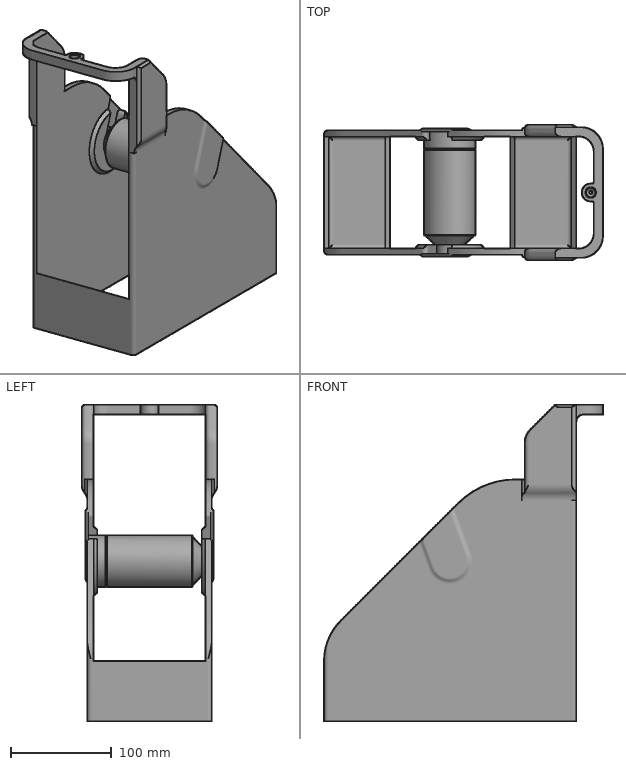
import cadquery as cq
import math

TOTAL_LENGTH = 277.0
TOTAL_WIDTH = 135.0
TOTAL_HEIGHT = 314.5

SHELL_LENGTH = 250.5
INNER_WIDTH = 111.0
WALL = 6.3
WALL_HEIGHT = 240.3
SLOPE_START = 83.3
FRONT_EDGE_RADIUS = 56.5
TOP_EDGE_RADIUS = 80.0
CORNER_RADIUS = 4.0
END_WALL = 5.0
END_WALL_HEIGHT = 60.0
FLOOR = 5.0
FRONT_FLOOR_END = 65.7
REAR_FLOOR_START = 185.0
END_BEVEL = 4.7
FLOOR_FILLET = 4.0

INNER_HALF = INNER_WIDTH / 2
SHELL_HALF = INNER_HALF + WALL
OUTER_HALF = TOTAL_WIDTH / 2

TAB_FRONT = 199.0
TAB_TOP_START = 229.5
TAB_CORNER_RADIUS = 19.0
TAB_EDGE_FILLET = 4.5
TAB_TOP_CHAMFER = 2.5
TAB_REAR_BEVEL = 4.7
TAB_FLAT_BOTTOM = 235.2
TAB_BEND_BOTTOM = 226.8
TAB_FOOT_BOTTOM = 219.5

TAB_FOOT_RISE = (OUTER_HALF - SHELL_HALF) * (TAB_BEND_BOTTOM - TAB_FOOT_BOTTOM) / (TAB_FLAT_BOTTOM - TAB_FOOT_BOTTOM)
TAB_FOOT_FRONT = TAB_FRONT - TAB_FOOT_RISE

BOW_WIDTH = 9.5
BOW_HEIGHT = 10.0
BOW_OUTER_RADIUS = 22.0
BOW_INNER_RADIUS = 14.8
BOW_FILLET = 7.0
EYE_DIAMETER = 18.0
EYE_X = 264.8
EYE_BLEND = 1.5
HOLE_MOUTH_DIAMETER = 10.7
HOLE_DIAMETER = 9.5
HOLE_TIP_DIAMETER = 2.6
HOLE_CONE_TOP = 4.7

ROLLER_X = 125.0
ROLLER_Z = 159.0
SLOT_TILT = 20.0
SLOT_RADIUS = 13.2
SLOT_LENGTH = 78.5
SLOT_MOUTH_RADIUS = 4.0
SEAT_BASE_RADIUS = 22.3
SEAT_TOP_RADIUS = 16.7
SEAT_EDGE_RADIUS = 19.5
SEAT_RISE = 2.0
SEAT_BACK = 3.0
RING_RADIUS = 34.5
RING_HEIGHT = 3.8
RING_BEVEL_ANGLE = 42.0

SLOT_FLOOR = SHELL_HALF + SEAT_RISE - SEAT_BACK
RING_FACE = INNER_HALF - RING_HEIGHT

ROLLER_DIAMETER = 51.5
CORE_DIAMETER = 47.8
JOURNAL_DIAMETER = 25.5
SLEEVE_HALF = 43.0
RIM_CHAMFER = 1.0
CONE_TIP_DIAMETER = 30.0


def prism(sketch, start, end):
    """Extrude an XZ outline between two Y positions."""
    return sketch(cq.Workplane("XZ", origin=(0, start, 0))).extrude(start - end)


def side_outline(wp):
    slope_end = WALL_HEIGHT - SLOPE_START
    return wp.polyline([
        (0, 0), (SHELL_LENGTH, 0), (SHELL_LENGTH, WALL_HEIGHT),
        (slope_end, WALL_HEIGHT), (0, SLOPE_START),
    ]).close()


def shell():
    """Two side walls joined by low end walls and two floor strips."""
    block = prism(side_outline, -SHELL_HALF, SHELL_HALF)
    block = block.edges(cq.NearestToPointSelector((0, 0, SLOPE_START))).fillet(FRONT_EDGE_RADIUS)
    slope_end = WALL_HEIGHT - SLOPE_START
    block = block.edges(cq.NearestToPointSelector((slope_end, 0, WALL_HEIGHT))).fillet(TOP_EDGE_RADIUS)
    plan = (
        cq.Workplane("XY").rect(SHELL_LENGTH, 2 * SHELL_HALF).extrude(TOTAL_HEIGHT)
        .edges("|Z").fillet(CORNER_RADIUS).translate((SHELL_LENGTH / 2, 0, 0))
    )
    block = block.intersect(plan)

    inside = (
        cq.Workplane("XY").box(SHELL_LENGTH - 2 * END_WALL, INNER_WIDTH, TOTAL_HEIGHT, centered=(False, True, False))
        .edges("<Z").fillet(FLOOR_FILLET).translate((END_WALL, 0, FLOOR))
    )
    above = (
        cq.Workplane("XY").box(SHELL_LENGTH, INNER_WIDTH, TOTAL_HEIGHT, centered=(False, True, False))
        .translate((0, 0, END_WALL_HEIGHT))
    )
    opening = (
        cq.Workplane("XY")
        .box(REAR_FLOOR_START - FRONT_FLOOR_END, INNER_WIDTH, TOTAL_HEIGHT, centered=(False, True, False))
        .translate((FRONT_FLOOR_END, 0, 0))
    )
    body = block.cut(inside).cut(above).cut(opening)
    bevelled = [
        (END_WALL, END_WALL_HEIGHT), (SHELL_LENGTH - END_WALL, END_WALL_HEIGHT),
        (FRONT_FLOOR_END, FLOOR), (REAR_FLOOR_START, FLOOR),
    ]
    for x, z in bevelled:
        body = body.edges(cq.NearestToPointSelector((x, 0, z))).chamfer(END_BEVEL)
    return body


def tab():
    """Thick upper plate on the -Y wall, swelling outwards from the wall."""
    slope_bottom = TOTAL_HEIGHT - (TAB_TOP_START - TAB_FRONT)

    def outline(wp):
        return wp.polyline([
            (TAB_FRONT, TAB_FOOT_BOTTOM), (SHELL_LENGTH, TAB_FOOT_BOTTOM),
            (SHELL_LENGTH, slope_bottom + SHELL_LENGTH - TAB_FRONT), (TAB_FRONT, slope_bottom),
        ]).close()

    plate = prism(outline, -OUTER_HALF, -INNER_HALF)
    plate = plate.edges(
        cq.NearestToPointSelector((TAB_FRONT, -OUTER_HALF / 2 - INNER_HALF / 2, slope_bottom))
    ).fillet(TAB_CORNER_RADIUS)
    plate = plate.faces("<X").edges("<Y or >Y").fillet(TAB_EDGE_FILLET)
    return plate.intersect(tab_bend()).intersect(tab_plan())


def tab_plan():
    """Plan of the -Y tab, bevelled at the rear down to the thickness of the bow."""
    return (
        cq.Workplane("XY").polyline([
            (TAB_FRONT, -INNER_HALF), (SHELL_LENGTH, -INNER_HALF), (SHELL_LENGTH, -INNER_HALF - BOW_WIDTH),
            (SHELL_LENGTH - TAB_REAR_BEVEL, -OUTER_HALF), (TAB_FRONT, -OUTER_HALF),
        ]).close().extrude(TOTAL_HEIGHT)
    )


def tab_bend():
    """End profile of the -Y tab: bevelled at the top, with an S-bend from its flat down to the wall."""
    return (
        cq.Workplane("YZ")
        .moveTo(-INNER_HALF, TOTAL_HEIGHT)
        .lineTo(-OUTER_HALF + TAB_TOP_CHAMFER, TOTAL_HEIGHT)
        .lineTo(-OUTER_HALF, TOTAL_HEIGHT - TAB_TOP_CHAMFER)
        .lineTo(-OUTER_HALF, TAB_FLAT_BOTTOM)
        .tangentArcPoint((-SHELL_HALF - TAB_FOOT_RISE, TAB_BEND_BOTTOM), relative=False)
        .tangentArcPoint((-SHELL_HALF, TAB_FOOT_BOTTOM), relative=False)
        .lineTo(-INNER_HALF, TAB_FOOT_BOTTOM)
        .close().extrude(TOTAL_LENGTH)
    )


def tab_foot():
    """Hollow flare that runs down the front of the -Y tab where it leaves the wall."""
    plan = (
        cq.Workplane("XY", origin=(0, 0, TAB_FOOT_BOTTOM))
        .moveTo(TAB_FOOT_FRONT, -INNER_HALF)
        .lineTo(TAB_FOOT_FRONT, -SHELL_HALF)
        .radiusArc((TAB_FRONT, -SHELL_HALF - TAB_FOOT_RISE), -TAB_FOOT_RISE)
        .lineTo(SHELL_LENGTH, -SHELL_HALF - TAB_FOOT_RISE)
        .lineTo(SHELL_LENGTH, -INNER_HALF)
        .close().extrude(WALL_HEIGHT - TAB_FOOT_BOTTOM)
    )
    return plan.intersect(tab_bend())


def bow():
    """Flat bar that bends round from one tab to the other behind the shell."""
    bow_half = INNER_HALF + BOW_WIDTH
    bottom = TOTAL_HEIGHT - BOW_HEIGHT
    start = SHELL_LENGTH - TAB_REAR_BEVEL

    def bar(end, half, radius):
        return (
            cq.Workplane("XY", origin=(0, 0, bottom))
            .center((start + end) / 2, 0).rect(end - start, 2 * half).extrude(BOW_HEIGHT)
            .edges("|Z and >X").fillet(radius)
        )

    eye_bar = (
        cq.Workplane("XY", origin=(EYE_X, 0, bottom)).circle(EYE_DIAMETER / 2).extrude(BOW_HEIGHT)
    )
    opening = bar(TOTAL_LENGTH - BOW_WIDTH, INNER_HALF, BOW_INNER_RADIUS)
    ring = bar(TOTAL_LENGTH, bow_half, BOW_OUTER_RADIUS).cut(opening).union(eye_bar)
    inner_face = TOTAL_LENGTH - BOW_WIDTH
    for side in (-1, 1):
        neck = cq.NearestToPointSelector((inner_face, side * EYE_DIAMETER / 2, bottom + BOW_HEIGHT / 2))
        ring = ring.edges(neck).fillet(EYE_BLEND)

    def gusset_outline(wp):
        return (
            wp.moveTo(SHELL_LENGTH, bottom).lineTo(SHELL_LENGTH + BOW_FILLET, bottom)
            .radiusArc((SHELL_LENGTH, bottom - BOW_FILLET), -BOW_FILLET).close()
        )

    for side in (-1, 1):
        gusset = prism(gusset_outline, *sorted((side * INNER_HALF, side * bow_half)))
        ring = ring.union(gusset)
    return ring


def eye_hole():
    """Hole through the bow's eye: a narrow bevel, a short bore, then a cone closing to a small bore."""
    mouth = HOLE_MOUTH_DIAMETER / 2
    bore = HOLE_DIAMETER / 2
    tip = HOLE_TIP_DIAMETER / 2
    bevel = mouth - bore
    return (
        cq.Workplane("XZ").polyline([
            (0, 0), (mouth, 0), (bore, -bevel), (bore, -HOLE_CONE_TOP),
            (tip, -HOLE_CONE_TOP - (bore - tip)), (tip, -BOW_HEIGHT), (0, -BOW_HEIGHT),
        ]).close().revolve(360, (0, 0, 0), (0, 1, 0)).translate((EYE_X, 0, TOTAL_HEIGHT))
    )


def slot_strip(wp, radius):
    """Upright strip with a round lower end, tilted about the roller axis."""
    tilt = math.radians(SLOT_TILT)
    across = (math.cos(tilt), math.sin(tilt))
    along = (-math.sin(tilt), math.cos(tilt))

    def point(u, v):
        return (ROLLER_X + u * across[0] + v * along[0], ROLLER_Z + u * across[1] + v * along[1])

    return (
        wp.moveTo(*point(-radius, SLOT_LENGTH)).lineTo(*point(-radius, 0))
        .threePointArc(point(0, -radius), point(radius, 0))
        .lineTo(*point(radius, SLOT_LENGTH)).close()
    )


def seat_cover():
    """Raised pad with an S-shaped rim on the outside of the -Y wall, closing the slot behind."""
    top = -SHELL_HALF - SEAT_RISE
    rim_share = (SEAT_EDGE_RADIUS - SEAT_TOP_RADIUS) / (SEAT_BASE_RADIUS - SEAT_TOP_RADIUS)
    edge = top + SEAT_RISE * rim_share

    def half_section():
        return (
            cq.Workplane("XY").moveTo(0, top).lineTo(SEAT_TOP_RADIUS, top)
            .tangentArcPoint((SEAT_EDGE_RADIUS, edge), relative=False)
            .tangentArcPoint((SEAT_BASE_RADIUS, -SHELL_HALF), relative=False)
            .lineTo(SEAT_BASE_RADIUS, -SLOT_FLOOR).lineTo(0, -SLOT_FLOOR).close()
        )

    half_strip = half_section().extrude(SLOT_LENGTH)
    round_end = half_section().revolve(360, (0, 0, 0), (0, 1, 0))
    pad = (
        round_end.union(half_strip).union(half_strip.mirror("YZ"))
        .rotate((0, 0, 0), (0, 1, 0), -SLOT_TILT).translate((ROLLER_X, 0, ROLLER_Z))
    )
    return pad.intersect(prism(side_outline, -OUTER_HALF, 0))


def seat_ring():
    """Bevelled ring on the inside of the -Y wall, round the roller axis."""
    return (
        cq.Workplane("XZ", origin=(ROLLER_X, -INNER_HALF, ROLLER_Z))
        .circle(RING_RADIUS).extrude(-RING_HEIGHT, taper=RING_BEVEL_ANGLE)
    )


def seat_slot():
    """Open-topped slot in the -Y wall that takes one end of the roller."""
    return prism(lambda wp: slot_strip(wp, SLOT_RADIUS), -SLOT_FLOOR, -RING_FACE)


def mouth_corner(side):
    """XZ point where one flank of the slot (side -1 or 1) meets the 45 degree edge of the wall."""
    tilt = math.radians(SLOT_TILT)
    across = side * SLOT_RADIUS
    rise = SLOPE_START + ROLLER_X - ROLLER_Z + across * (math.cos(tilt) - math.sin(tilt))
    along = rise / (math.cos(tilt) + math.sin(tilt))
    x = ROLLER_X + across * math.cos(tilt) - along * math.sin(tilt)
    return (x, x + SLOPE_START)


def make_housing():
    side = tab().union(tab_foot()).union(seat_cover()).union(seat_ring())
    body = shell()
    for part in (side, side.mirror("XZ"), bow()):
        body = body.union(part)
    slot = seat_slot()
    body = body.cut(slot).cut(slot.mirror("XZ"))
    slot_middle = (SLOT_FLOOR + INNER_HALF) / 2
    for y in (-slot_middle, slot_middle):
        for flank in (-1, 1):
            x, z = mouth_corner(flank)
            body = body.edges(cq.NearestToPointSelector((x, y, z))).fillet(SLOT_MOUTH_RADIUS)
    return body.cut(eye_hole())


def make_sleeve():
    """Plain tube that turns on the axle's core."""
    return (
        cq.Workplane("XZ", origin=(ROLLER_X, SLEEVE_HALF, ROLLER_Z))
        .circle(ROLLER_DIAMETER / 2).extrude(2 * SLEEVE_HALF)
        .edges().chamfer(RIM_CHAMFER)
        .faces("<Y").workplane().hole(CORE_DIAMETER)
    )


def make_axle():
    """Core with a cap and a keyed tongue at +Y, and a cone and a round journal at -Y."""
    rim = ROLLER_DIAMETER / 2
    core = CORE_DIAMETER / 2
    journal = JOURNAL_DIAMETER / 2
    profile = cq.Workplane("XY").polyline([
        (0, -SLOT_FLOOR), (journal, -SLOT_FLOOR), (journal, -RING_FACE), (CONE_TIP_DIAMETER / 2, -RING_FACE),
        (core, -SLEEVE_HALF), (core, SLEEVE_HALF), (rim - RIM_CHAMFER, SLEEVE_HALF),
        (rim, SLEEVE_HALF + RIM_CHAMFER), (rim, RING_FACE), (0, RING_FACE),
    ]).close()
    body = profile.revolve(360, (0, 0, 0), (0, 1, 0)).translate((ROLLER_X, 0, ROLLER_Z))
    disc = prism(lambda wp: wp.center(ROLLER_X, ROLLER_Z).circle(rim), RING_FACE, SLOT_FLOOR)
    strip = prism(lambda wp: slot_strip(wp, journal), RING_FACE, SLOT_FLOOR)
    return body.union(disc.intersect(strip))


housing = make_housing()
sleeve = make_sleeve()
axle = make_axle()

result = cq.Compound.makeCompound([housing.val(), sleeve.val(), axle.val()])